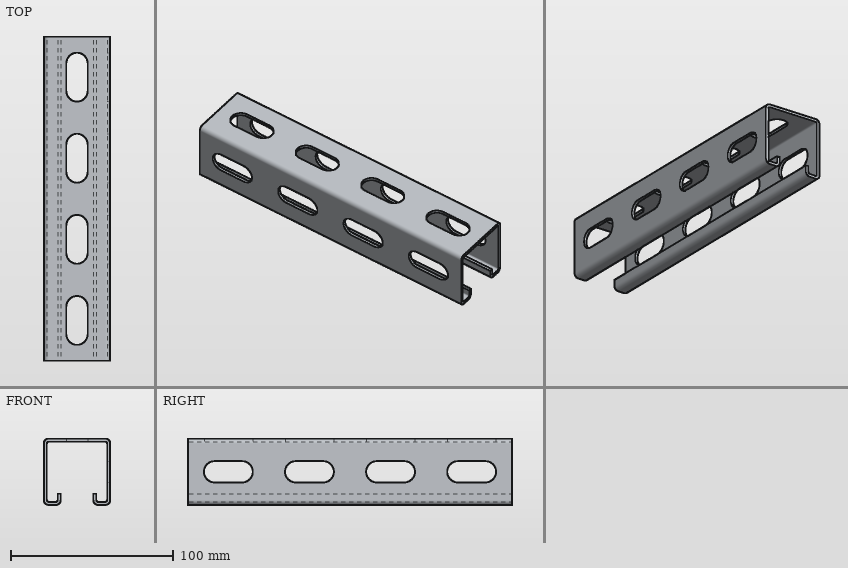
import cadquery as cq

length = 200.0
side = 41.0
wall = 2.0
bend_radius = 3.0
mouth_width = 20.0
lip_height = 7.0

slot_length = 30.0
slot_width = 13.0
slot_count = 4
slot_pitch = length / slot_count

half_side = side / 2
half_mouth = mouth_width / 2
lip_top = lip_height - half_side
inner_bend_radius = bend_radius - wall
inner = half_side - wall
lip_inner = half_mouth + wall


def make_half_channel():
    """Right half of the bent sheet: half the back, one side, one flange and its lip."""
    outer_r = bend_radius
    inner_r = inner_bend_radius
    profile = (
        cq.Workplane("XZ")
        .moveTo(0, half_side)
        .lineTo(half_side - outer_r, half_side)
        .tangentArcPoint((outer_r, -outer_r))
        .lineTo(half_side, outer_r - half_side)
        .tangentArcPoint((-outer_r, -outer_r))
        .lineTo(half_mouth + outer_r, -half_side)
        .tangentArcPoint((-outer_r, outer_r))
        .lineTo(half_mouth, lip_top)
        .lineTo(lip_inner, lip_top)
        .lineTo(lip_inner, inner_r - inner)
        .tangentArcPoint((inner_r, -inner_r))
        .lineTo(inner - inner_r, -inner)
        .tangentArcPoint((inner_r, inner_r))
        .lineTo(inner, inner - inner_r)
        .tangentArcPoint((-inner_r, inner_r))
        .lineTo(0, inner)
        .close()
    )
    return profile.extrude(length / 2, both=True)


def make_slot_row():
    """Row of vertical slot cutters spaced evenly along Y, as tall as the channel."""
    return (
        cq.Workplane("XY")
        .rarray(2, slot_pitch, 1, slot_count)
        .slot2D(slot_length, slot_width, 90)
        .extrude(half_side, both=True)
    )


half_channel = make_half_channel()
channel = half_channel.union(half_channel.mirror("YZ")).clean()

back_slots = make_slot_row()
side_slots = back_slots.rotate((0, 0, 0), (0, 1, 0), 90)
result = channel.cut(back_slots).cut(side_slots)